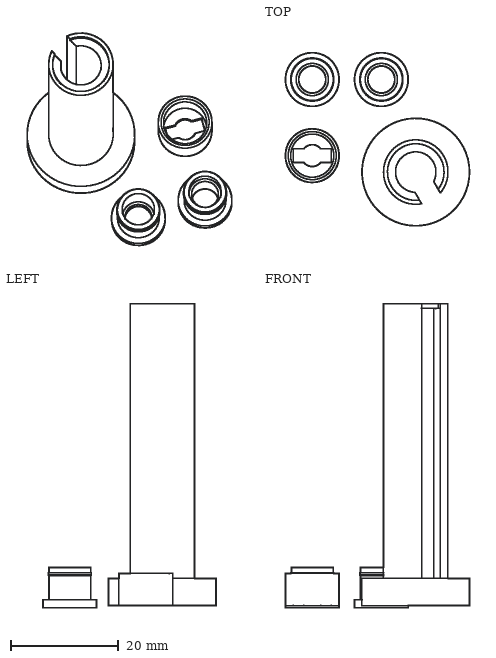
import cadquery as cq

BASE_DIAMETER = 20.0
BASE_BOTTOM = 0.45
BASE_HEIGHT = 5.05
TUBE_DIAMETER = 12.0
TUBE_BORE_DIAMETER = 7.5
TUBE_TOP = 56.5
TUBE_RECESS_DIAMETER = 10.5
TUBE_RECESS_DEPTH = 0.9
SLOT_WIDTH = 4.0
SLOT_ANGLE = -60.0

SMALL_PART_DIAMETER = 10.0
COLUMN_X = -19.2

CUP_Y = 3.05
CUP_HEIGHT = 6.0
CUP_BORE_DIAMETER = 8.0
CUP_FLOOR = 0.9
CUP_MOUTH_CHAMFER = 0.45
KEYWAY_LENGTH = 7.0
KEYWAY_WIDTH = 2.5
KEYWAY_HOLE_DIAMETER = 4.0

BUSHING_Y = 17.2
BUSHING_SPACING = 12.8
BUSHING_HEIGHT = 7.5
FLANGE_HEIGHT = 1.5
BARREL_DIAMETER = 7.8
BEAD_DIAMETER = 8.0
BEAD_BOTTOM = 5.95
BEAD_HEIGHT = 0.55
BEAD_TAPER_HEIGHT = 0.2
BUSHING_BORE_DIAMETER = 5.0
COUNTERBORE_DIAMETER = 6.0
SHALLOW_COUNTERBORE = 2.0
DEEP_COUNTERBORE = BUSHING_HEIGHT - FLANGE_HEIGHT


def cylinder(diameter, bottom, height):
    """Upright cylinder centred on the Z axis."""
    return cq.Workplane("XY", origin=(0, 0, bottom)).circle(diameter / 2).extrude(height)


def make_stand():
    base_top = BASE_BOTTOM + BASE_HEIGHT
    tube_height = TUBE_TOP - base_top
    base = cylinder(BASE_DIAMETER, BASE_BOTTOM, BASE_HEIGHT)
    tube = cylinder(TUBE_DIAMETER, base_top, tube_height)
    bore = cylinder(TUBE_BORE_DIAMETER, base_top, tube_height)
    recess = cylinder(TUBE_RECESS_DIAMETER, TUBE_TOP - TUBE_RECESS_DEPTH, TUBE_RECESS_DEPTH)
    slot = (
        cq.Workplane("XY", origin=(0, 0, base_top))
        .box(TUBE_DIAMETER, SLOT_WIDTH, tube_height, centered=(False, True, False))
        .rotate((0, 0, 0), (0, 0, 1), SLOT_ANGLE)
    )
    return base.union(tube.cut(bore).cut(recess).cut(slot))


def make_cup():
    body = cylinder(SMALL_PART_DIAMETER, 0, CUP_HEIGHT)
    bore = cylinder(CUP_BORE_DIAMETER, CUP_FLOOR, CUP_HEIGHT - CUP_FLOOR)
    hole = cylinder(KEYWAY_HOLE_DIAMETER, 0, CUP_FLOOR)
    keyway = cq.Workplane("XY").rect(KEYWAY_LENGTH, KEYWAY_WIDTH).extrude(CUP_FLOOR)
    cup = body.cut(bore)
    mouth_edge = cq.selectors.RadiusNthSelector(0)
    cup = cup.faces(">Z").edges(mouth_edge).chamfer(CUP_MOUTH_CHAMFER)
    cup = cup.cut(hole).cut(keyway)
    return cup.translate((COLUMN_X, CUP_Y, BASE_BOTTOM))


def make_bushing(x, counterbore_depth):
    flange = cylinder(SMALL_PART_DIAMETER, 0, FLANGE_HEIGHT)
    barrel = cylinder(BARREL_DIAMETER, 0, BUSHING_HEIGHT)
    bead = (
        cylinder(BEAD_DIAMETER, BEAD_BOTTOM, BEAD_HEIGHT)
        .faces("<Z")
        .chamfer(BEAD_TAPER_HEIGHT, (BEAD_DIAMETER - BARREL_DIAMETER) / 2)
    )
    bore = cylinder(BUSHING_BORE_DIAMETER, 0, BUSHING_HEIGHT)
    counterbore = cylinder(COUNTERBORE_DIAMETER, BUSHING_HEIGHT - counterbore_depth, counterbore_depth)
    bushing = flange.union(barrel).union(bead).cut(bore).cut(counterbore)
    return bushing.translate((x, BUSHING_Y, 0))


stand = make_stand()
cup = make_cup()
bushings = []
for index, depth in enumerate((SHALLOW_COUNTERBORE, DEEP_COUNTERBORE)):
    bushings.append(make_bushing(COLUMN_X + index * BUSHING_SPACING, depth).val())

result = cq.Compound.makeCompound([stand.val(), cup.val(), *bushings])